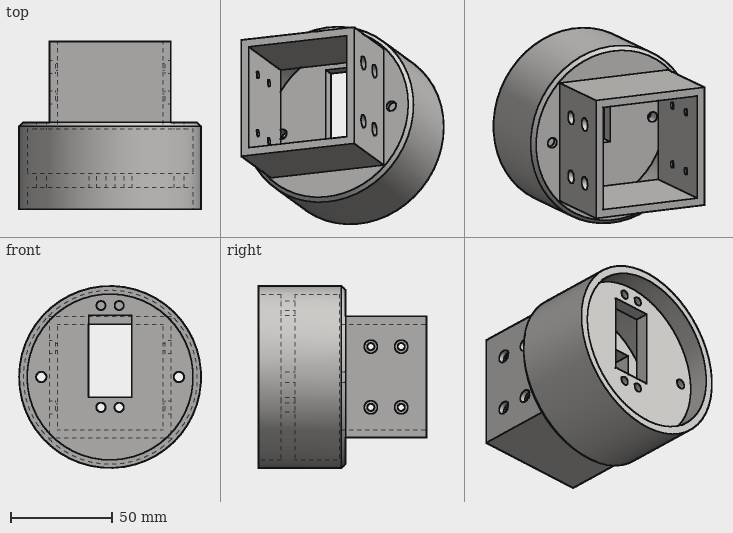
import cadquery as cq

housing_dia = 90.0
bore_dia = 82.0
housing_length = 43.0
rear_chamfer = 2.0

plate_front_y = 11.0
plate_thickness = 7.0
end_wall_thickness = 3.0
chamber_start_y = plate_front_y + plate_thickness
chamber_length = housing_length - end_wall_thickness - chamber_start_y

tube_size = 60.0
tube_wall = 4.0
tube_length = 40.0
tube_inner = tube_size - 2 * tube_wall
total_length = housing_length + tube_length

window_width = 21.2
window_height = 40.5
window_center_z = 10.25
window_hole_dia = 4.5
window_hole_spacing_x = 9.0
window_hole_spacing_z = 50.3
window_hole_center_z = 10.15

side_hole_dia = 5.0
side_hole_spacing = 68.0

wall_hole_dia = 3.4
counterbore_dia = 6.5
counterbore_depth = 3.0
wall_hole_spacing_y = 15.0
wall_hole_spacing_z = 30.0
wall_hole_center_y = housing_length + tube_length / 2


def plane_at_y(y):
    """XZ sketch plane at the given Y, whose normal points along +Y; local x is -X."""
    return cq.Workplane(cq.Plane(origin=(0, y, 0), xDir=(-1, 0, 0), normal=(0, 1, 0)))


def y_cylinder(diameter, start_y, length):
    return plane_at_y(start_y).circle(diameter / 2).extrude(length)


def make_body():
    housing = y_cylinder(housing_dia, 0, housing_length).faces(">Y").edges().chamfer(rear_chamfer)
    tube = plane_at_y(housing_length).rect(tube_size, tube_size).extrude(tube_length)
    return housing.union(tube)


def make_cavities():
    front_recess = y_cylinder(bore_dia, 0, plate_front_y)
    chamber = y_cylinder(bore_dia, chamber_start_y, chamber_length)
    tube_bore_length = total_length - chamber_start_y
    tube_bore = plane_at_y(chamber_start_y).rect(tube_inner, tube_inner).extrude(tube_bore_length)
    return front_recess.union(chamber).union(tube_bore)


def make_plate_openings():
    plate = plane_at_y(plate_front_y)
    window = plate.center(0, window_center_z).rect(window_width, window_height).extrude(plate_thickness)
    screw_holes = (
        plate.center(0, window_hole_center_z)
        .rarray(window_hole_spacing_x, window_hole_spacing_z, 2, 2)
        .circle(window_hole_dia / 2)
        .extrude(plate_thickness)
    )
    return window.union(screw_holes)


def make_side_holes():
    return (
        plane_at_y(plate_front_y)
        .rarray(side_hole_spacing, 1, 2, 1)
        .circle(side_hole_dia / 2)
        .extrude(housing_length - plate_front_y)
    )


def make_wall_holes(diameter, depth, side):
    """Four holes of the given depth, cut inward from the -X (side -1) or +X (side +1) tube wall."""
    return (
        cq.Workplane("YZ", origin=(side * tube_size / 2, wall_hole_center_y, 0))
        .rarray(wall_hole_spacing_y, wall_hole_spacing_z, 2, 2)
        .circle(diameter / 2)
        .extrude(-side * depth)
    )


result = make_body().cut(make_cavities()).cut(make_plate_openings()).cut(make_side_holes())
for side in (-1, 1):
    result = result.cut(make_wall_holes(wall_hole_dia, tube_wall, side))
    result = result.cut(make_wall_holes(counterbore_dia, counterbore_depth, side))